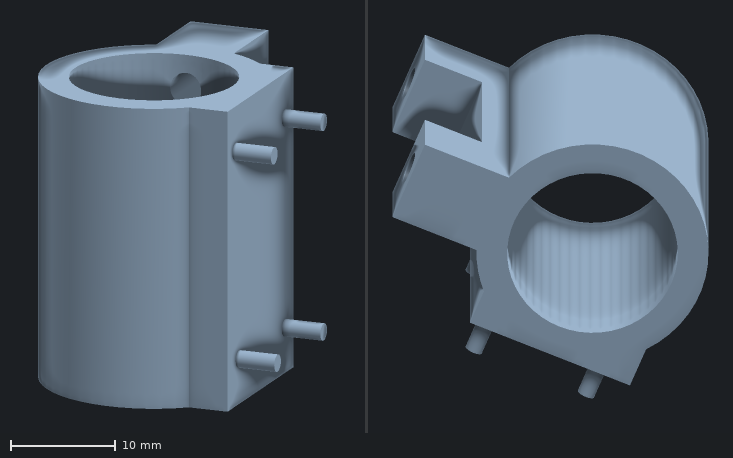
import cadquery as cq

height = 30.0
outer_radius = 11.15
bore_diameter = 16.4

arm_width = 8.05
arm_reach = 19.15
lug_height = 6.82
window_floor = 13.18

screw_diameter = 3.2
screw_inset = lug_height / 2

pad_face = outer_radius
pad_back = 8.1
pad_front = -8.57

pin_diameter = 1.7
pin_length = 4.0
pin_inset = 4.5
back_pin_y = 6.03
upper_front_pin_y = -6.5
lower_front_pin_y = -5.67


def block(x_range, y_range, z_range):
    """Box spanning the given (low, high) ranges."""
    low, high = zip(x_range, y_range, z_range)
    size = [b - a for a, b in zip(low, high)]
    return cq.Workplane("XY").box(*size, centered=False).translate(low)


def arm():
    half_width = arm_width / 2
    blank = block((-half_width, half_width), (0, arm_reach), (0, height))
    window = block(
        (-half_width, half_width),
        (window_floor, arm_reach),
        (lug_height, height - lug_height),
    )
    return blank.cut(window)


def screw_hole(z):
    direction = cq.Vector(0, 1, 0)
    return cq.Solid.makeCylinder(screw_diameter / 2, arm_reach, cq.Vector(0, 0, z), direction)


def pin(y, z):
    """Pin rooted inside the pad so that it joins it solidly."""
    root = cq.Vector(pad_face - pin_diameter / 2, y, z)
    length = pin_length + pin_diameter / 2
    return cq.Solid.makeCylinder(pin_diameter / 2, length, root, cq.Vector(1, 0, 0))


tube = cq.Workplane("XY").circle(outer_radius).extrude(height)
pad = block((0, pad_face), (pad_front, pad_back), (0, height))
bore = cq.Workplane("XY").circle(bore_diameter / 2).extrude(height)
result = tube.union(arm()).union(pad).cut(bore)

for hole_z in (screw_inset, height - screw_inset):
    result = result.cut(screw_hole(hole_z))

pin_rows = (
    (pin_inset, lower_front_pin_y),
    (height - pin_inset, upper_front_pin_y),
)
for pin_z, front_pin_y in pin_rows:
    for pin_y in (back_pin_y, front_pin_y):
        result = result.union(pin(pin_y, pin_z))